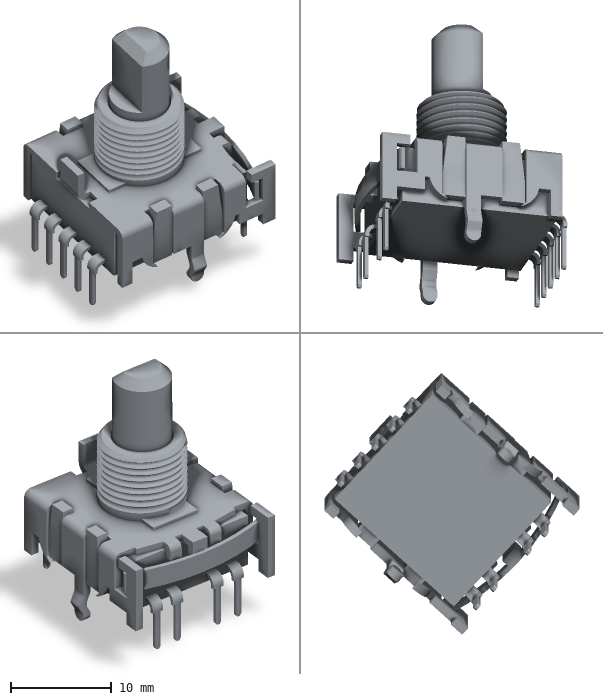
import cadquery as cq
import math


SHAFT_DIAMETER = 6.0
SHAFT_TOP = 15.0
FLAT_BOTTOM = 8.0
FLAT_DISTANCE = 1.5
SHAFT_CHAMFER = 1.0

BUSHING_DIAMETER = 9.0
BUSHING_TOP = 7.0
BORE_DIAMETER = 6.3
BUSHING_CHAMFER = 0.45
EAR_WIDTH = 5.5
EAR_LENGTH = 11.16

THREAD_PITCH = 0.75
THREAD_DEPTH = 0.48
THREAD_CREST_FLAT = 0.03
THREAD_START_Z = 0.33
GROOVE_OVERSHOOT = 0.1

PLATE_TOP = -0.35
PLATE_THICKNESS = 0.78
PLATE_BOTTOM = PLATE_TOP - PLATE_THICKNESS
COVER_HALF_WIDTH = 8.6
SIDE_THICKNESS = 0.86
SIDE_INNER_X = COVER_HALF_WIDTH - SIDE_THICKNESS
COVER_BEND_RADIUS = 0.8
COVER_FRONT = -8.03
BEND_REAR = 6.91
WING_REAR = 10.5

FOOT_BOTTOM = -7.45
SIDE_BOTTOM = -6.05
NOTCH_TOP = -4.67
FRONT_FOOT_REAR = -6.83
REAR_NOTCH_REAR = 6.13
REAR_FOOT_FRONT = 8.98
PRONG_ROOT_Y = 5.62
PRONG_MID_Y = 4.92
PRONG_MID_Z = -6.05
PRONG_TIP_Y = 3.75
PRONG_TIP_Z = -6.76
PRONG_HEEL_Y = 4.2

SLOT_NEAR_Y = 1.83
SLOT_FAR_Y = 4.33
SLOT_INNER_X = 7.02

WINDOW_TOP = -1.4
WINDOW_BOTTOM = -4.32
WINDOW_GAP_REAR = 7.6

REAR_STEP_X = 6.11
REAR_STEP_Y = 7.3
REAR_EDGE_Y = 7.77
HOOK_INNER_X = 1.77
HOOK_OUTER_X = 3.17
HOOK_REAR = 8.96
HOOK_BOTTOM = -2.2
HOOK_BEND_RADIUS = 0.7
CENTRE_TAB_HALF_WIDTH = 0.91

SPRING_RADIUS = 24.0
SPRING_THICKNESS = 0.45
SPRING_REAR = 10.11
SPRING_HALF_SPAN = 8.56
SPRING_TOP = -1.73
SPRING_BOTTOM = -3.97

FRONT_NOTCH_WIDTH = 5.64
FRONT_NOTCH_REAR = -7.0
FRONT_TAB_WIDTH = 3.04
FRONT_TAB_FACE = -8.49
FRONT_TAB_TOP = 2.44
FRONT_TAB_INNER_RADIUS = 0.5

LEG_CENTRE_Y = 1.09
LEG_WIDTH = 1.5
LEG_BOTTOM = -10.98
LEG_SHARP_PEAK_X = 9.157
LEG_PEAK_Z = -9.0
LEG_OUTER_BEND_Z = -7.78
LEG_INNER_BEND_Z = -7.56
LEG_VALLEY_X = 8.2
LEG_VALLEY_TOP = -8.6
LEG_VALLEY_BOTTOM = -9.18
LEG_FOOT_Z = -9.98
LEG_BEND_RADIUS = 0.6
LEG_PEAK_RADIUS = 0.44
LEG_FOOT_RADIUS = 0.86

BLOCK_HALF_WIDTH = 7.13
BLOCK_HALF_LENGTH = 8.03
BLOCK_BOTTOM = -6.91

ARM_OUTER_X = 8.36
ARM_TOP = 0.1
ARM_BOTTOM = -6.31
ARM_TAPER_END = -3.89
ARM_NEAR_Y = 1.9
ARM_TOP_FAR_Y = 3.72
ARM_FAR_Y = 4.22

TERMINAL_PITCH = 2.5
TERMINAL_THICKNESS = 0.4
TERMINAL_REACH = 9.35
TERMINAL_TOP = -5.84
TERMINAL_BEND_RADIUS = 1.04
TERMINAL_ROOT_WIDTH = 1.25
TERMINAL_SHOULDER = -7.17
PIN_WIDTH = 0.63
PIN_BOTTOM = -11.5
PIN_TIP_LENGTH = 0.25
PIN_TIP_WIDTH = 0.3
FRONT_TERMINALS = (-2, -1, 0, 1, 2)
REAR_TERMINALS = (-2, -1, 1, 2)

SIDES = (-1, 1)


def block(x0, x1, y0, y1, z0, z1):
    """Axis-aligned box between two opposite corners."""
    size = (x1 - x0, y1 - y0, z1 - z0)
    return cq.Workplane("XY").box(*size, centered=False).translate((x0, y0, z0))


def mirror_x(shape):
    """The shape together with its mirror image across the YZ plane."""
    return shape.union(shape.mirror("YZ"))


def make_shaft():
    radius = SHAFT_DIAMETER / 2
    shaft = cq.Workplane("XY").workplane(offset=PLATE_BOTTOM).circle(radius).extrude(SHAFT_TOP - PLATE_BOTTOM)
    shaft = shaft.faces(">Z").chamfer(SHAFT_CHAMFER)
    bevel_start = SHAFT_TOP - SHAFT_CHAMFER
    flat = (
        cq.Workplane("YZ")
        .moveTo(-SHAFT_DIAMETER, FLAT_BOTTOM)
        .lineTo(-FLAT_DISTANCE, FLAT_BOTTOM)
        .lineTo(-FLAT_DISTANCE, bevel_start)
        .lineTo(-FLAT_DISTANCE + SHAFT_CHAMFER, SHAFT_TOP)
        .lineTo(-SHAFT_DIAMETER, SHAFT_TOP)
        .close()
        .extrude(radius, both=True)
    )
    return shaft.cut(flat)


def make_thread_groove():
    """V groove between ruled helical faces, right-handed, starting at the +Y side."""
    crest_radius = BUSHING_DIAMETER / 2
    root_radius = crest_radius - THREAD_DEPTH
    mouth_radius = crest_radius + GROOVE_OVERSHOOT
    half_mouth = (THREAD_PITCH - THREAD_CREST_FLAT) / 2
    height = BUSHING_TOP + THREAD_PITCH - THREAD_START_Z
    section = [
        (root_radius, 0),
        (crest_radius, half_mouth),
        (mouth_radius, half_mouth),
        (mouth_radius, -half_mouth),
        (crest_radius, -half_mouth),
    ]
    helices = [
        cq.Wire.makeHelix(THREAD_PITCH, height, radius).translate(cq.Vector(0, 0, z))
        for radius, z in section
    ]
    next_helices = helices[1:] + helices[:1]
    faces = [cq.Face.makeRuledSurface(first, second) for first, second in zip(helices, next_helices)]
    for corners in ([h.startPoint() for h in helices], [h.endPoint() for h in helices]):
        faces.append(cq.Face.makeFromWires(cq.Wire.makePolygon(corners, close=True)))
    groove = cq.Workplane(cq.Solid.makeSolid(cq.Shell.makeShell(faces)).fix())
    return groove.rotate((0, 0, 0), (0, 0, 1), 90).translate((0, 0, THREAD_START_Z))


def make_bushing():
    """Threaded bushing standing on the housing block, not yet bored."""
    bushing = (
        cq.Workplane("XY")
        .workplane(offset=PLATE_BOTTOM)
        .circle(BUSHING_DIAMETER / 2)
        .extrude(BUSHING_TOP - PLATE_BOTTOM)
        .faces(">Z")
        .chamfer(BUSHING_CHAMFER)
    )
    return bushing.cut(make_thread_groove(), clean=False)


def make_ears(top):
    return block(-EAR_WIDTH / 2, EAR_WIDTH / 2, -EAR_LENGTH / 2, EAR_LENGTH / 2, PLATE_BOTTOM, top)


def make_arm(x_side, y_side):
    """Side arm of the housing with a tapered outer edge."""
    arm = (
        cq.Workplane("YZ")
        .moveTo(ARM_NEAR_Y, ARM_BOTTOM)
        .lineTo(ARM_FAR_Y, ARM_BOTTOM)
        .lineTo(ARM_FAR_Y, ARM_TAPER_END)
        .lineTo(ARM_TOP_FAR_Y, ARM_TOP)
        .lineTo(ARM_NEAR_Y, ARM_TOP)
        .close()
        .extrude(ARM_OUTER_X - BLOCK_HALF_WIDTH)
        .translate((BLOCK_HALF_WIDTH, 0, 0))
    )
    if x_side < 0:
        arm = arm.mirror("YZ")
    if y_side < 0:
        arm = arm.mirror("XZ")
    return arm


def make_terminal():
    """Rear terminal centred on X = 0: a bent strip trimmed to its front outline."""
    inner_radius = TERMINAL_BEND_RADIUS - TERMINAL_THICKNESS
    bend_y = TERMINAL_REACH - TERMINAL_BEND_RADIUS
    bend_z = TERMINAL_TOP - TERMINAL_BEND_RADIUS
    strip = (
        cq.Workplane("YZ")
        .moveTo(BLOCK_HALF_LENGTH, TERMINAL_TOP)
        .lineTo(bend_y, TERMINAL_TOP)
        .radiusArc((TERMINAL_REACH, bend_z), TERMINAL_BEND_RADIUS)
        .lineTo(TERMINAL_REACH, PIN_BOTTOM)
        .lineTo(TERMINAL_REACH - TERMINAL_THICKNESS, PIN_BOTTOM)
        .lineTo(TERMINAL_REACH - TERMINAL_THICKNESS, bend_z)
        .radiusArc((bend_y, TERMINAL_TOP - TERMINAL_THICKNESS), -inner_radius)
        .lineTo(BLOCK_HALF_LENGTH, TERMINAL_TOP - TERMINAL_THICKNESS)
        .close()
        .extrude(TERMINAL_ROOT_WIDTH / 2, both=True)
    )
    outline = (
        cq.Workplane("XZ")
        .moveTo(0, TERMINAL_TOP)
        .lineTo(TERMINAL_ROOT_WIDTH / 2, TERMINAL_TOP)
        .lineTo(TERMINAL_ROOT_WIDTH / 2, TERMINAL_SHOULDER)
        .lineTo(PIN_WIDTH / 2, TERMINAL_SHOULDER)
        .lineTo(PIN_WIDTH / 2, PIN_BOTTOM + PIN_TIP_LENGTH)
        .lineTo(PIN_TIP_WIDTH / 2, PIN_BOTTOM)
        .lineTo(0, PIN_BOTTOM)
        .mirrorY()
        .extrude(-TERMINAL_REACH)
    )
    return strip.intersect(outline)


def make_housing():
    housing = block(
        -BLOCK_HALF_WIDTH, BLOCK_HALF_WIDTH,
        -BLOCK_HALF_LENGTH, BLOCK_HALF_LENGTH,
        BLOCK_BOTTOM, PLATE_BOTTOM,
    )
    housing = housing.union(make_bushing().union(make_ears(0)))
    for x_side in SIDES:
        for y_side in SIDES:
            housing = housing.union(make_arm(x_side, y_side))
    rear_terminal = make_terminal()
    front_terminal = rear_terminal.mirror("XZ")
    for index in REAR_TERMINALS:
        housing = housing.union(rear_terminal.translate((index * TERMINAL_PITCH, 0, 0)))
    for index in FRONT_TERMINALS:
        housing = housing.union(front_terminal.translate((index * TERMINAL_PITCH, 0, 0)))
    bore = cq.Workplane("XY").workplane(offset=PLATE_BOTTOM).circle(BORE_DIAMETER / 2).extrude(
        BUSHING_TOP - PLATE_BOTTOM
    )
    return housing.cut(bore)


def make_channel():
    """U-shaped cover sheet with square wings behind the bends."""
    outer = block(-COVER_HALF_WIDTH, COVER_HALF_WIDTH, COVER_FRONT, BEND_REAR, FOOT_BOTTOM, PLATE_TOP)
    outer = outer.edges("|Y and >Z").fillet(COVER_BEND_RADIUS)
    wing = block(SIDE_INNER_X, COVER_HALF_WIDTH, BEND_REAR, WING_REAR, FOOT_BOTTOM, PLATE_TOP)
    inside = block(-SIDE_INNER_X, SIDE_INNER_X, COVER_FRONT, BEND_REAR, FOOT_BOTTOM, PLATE_BOTTOM)
    return outer.cut(inside).union(mirror_x(wing))


def make_side_outline():
    """Side outline with feet, notches and the pointed prongs under the arms."""
    return (
        cq.Workplane("YZ")
        .moveTo(COVER_FRONT, PLATE_TOP)
        .lineTo(COVER_FRONT, FOOT_BOTTOM)
        .lineTo(FRONT_FOOT_REAR, FOOT_BOTTOM)
        .lineTo(FRONT_FOOT_REAR, NOTCH_TOP)
        .lineTo(-PRONG_ROOT_Y, NOTCH_TOP)
        .threePointArc((-PRONG_MID_Y, PRONG_MID_Z), (-PRONG_TIP_Y, PRONG_TIP_Z))
        .lineTo(-PRONG_HEEL_Y, ARM_BOTTOM)
        .lineTo(-SLOT_NEAR_Y, ARM_BOTTOM)
        .lineTo(-SLOT_NEAR_Y, SIDE_BOTTOM)
        .lineTo(SLOT_NEAR_Y, SIDE_BOTTOM)
        .lineTo(SLOT_NEAR_Y, ARM_BOTTOM)
        .lineTo(PRONG_HEEL_Y, ARM_BOTTOM)
        .lineTo(PRONG_TIP_Y, PRONG_TIP_Z)
        .threePointArc((PRONG_MID_Y, PRONG_MID_Z), (PRONG_ROOT_Y, NOTCH_TOP))
        .lineTo(REAR_NOTCH_REAR, NOTCH_TOP)
        .lineTo(REAR_NOTCH_REAR, SIDE_BOTTOM)
        .lineTo(REAR_FOOT_FRONT, SIDE_BOTTOM)
        .lineTo(REAR_FOOT_FRONT, FOOT_BOTTOM)
        .lineTo(WING_REAR, FOOT_BOTTOM)
        .lineTo(WING_REAR, PLATE_TOP)
        .close()
        .extrude(COVER_HALF_WIDTH, both=True)
    )


def make_side_openings():
    """Arm slots and the spring window with its gap open to the top."""
    openings = block(
        SIDE_INNER_X, COVER_HALF_WIDTH, BEND_REAR, REAR_FOOT_FRONT, WINDOW_BOTTOM, WINDOW_TOP
    )
    gap = block(SIDE_INNER_X, COVER_HALF_WIDTH, BEND_REAR, WINDOW_GAP_REAR, WINDOW_BOTTOM, PLATE_TOP)
    slot = block(SLOT_INNER_X, COVER_HALF_WIDTH, SLOT_NEAR_Y, SLOT_FAR_Y, ARM_BOTTOM, PLATE_TOP)
    openings = openings.union(gap).union(slot).union(slot.mirror("XZ"))
    return mirror_x(openings)


def make_rear_plate():
    """Stepped rear edge of the top plate with its centre tab."""
    spring_inner_y = SPRING_REAR - SPRING_THICKNESS
    plate = (
        cq.Workplane("XY")
        .workplane(offset=PLATE_BOTTOM)
        .moveTo(0, FRONT_NOTCH_REAR)
        .lineTo(REAR_STEP_X, FRONT_NOTCH_REAR)
        .lineTo(REAR_STEP_X, REAR_STEP_Y)
        .lineTo(HOOK_OUTER_X, REAR_EDGE_Y)
        .lineTo(CENTRE_TAB_HALF_WIDTH, REAR_EDGE_Y)
        .lineTo(CENTRE_TAB_HALF_WIDTH, spring_inner_y)
        .lineTo(0, spring_inner_y)
        .mirrorY()
        .extrude(PLATE_THICKNESS)
    )
    drop = block(
        -CENTRE_TAB_HALF_WIDTH, CENTRE_TAB_HALF_WIDTH,
        spring_inner_y - PLATE_THICKNESS, spring_inner_y,
        SPRING_BOTTOM, PLATE_TOP,
    )
    return plate.union(drop)


def make_hook():
    """Rear hook bent down behind the housing block."""
    hook = block(HOOK_INNER_X, HOOK_OUTER_X, BEND_REAR, HOOK_REAR, HOOK_BOTTOM, PLATE_TOP)
    hook = hook.edges(">Y and >Z").fillet(HOOK_BEND_RADIUS)
    relief_rear = HOOK_REAR - PLATE_THICKNESS
    return hook.cut(block(HOOK_INNER_X, HOOK_OUTER_X, BEND_REAR, relief_rear, HOOK_BOTTOM, PLATE_BOTTOM))


def make_spring():
    """Curved leaf spring whose ends reach into the side windows."""
    centre_y = SPRING_REAR - SPRING_RADIUS
    inner_radius = SPRING_RADIUS - SPRING_THICKNESS
    half_angle = math.asin(SPRING_HALF_SPAN / SPRING_RADIUS)

    def point(radius, angle):
        return radius * math.sin(angle), centre_y + radius * math.cos(angle)

    return (
        cq.Workplane("XY")
        .workplane(offset=SPRING_BOTTOM)
        .moveTo(*point(SPRING_RADIUS, -half_angle))
        .threePointArc(point(SPRING_RADIUS, 0), point(SPRING_RADIUS, half_angle))
        .lineTo(*point(inner_radius, half_angle))
        .threePointArc(point(inner_radius, 0), point(inner_radius, -half_angle))
        .close()
        .extrude(SPRING_TOP - SPRING_BOTTOM)
    )


def make_front_tab():
    """Locating tab bent up from the front edge of the plate."""
    outer_radius = FRONT_TAB_INNER_RADIUS + PLATE_THICKNESS
    bend_y = FRONT_TAB_FACE + outer_radius
    bend_z = PLATE_TOP + FRONT_TAB_INNER_RADIUS
    tab_back = FRONT_TAB_FACE + PLATE_THICKNESS
    return (
        cq.Workplane("YZ")
        .moveTo(FRONT_NOTCH_REAR, PLATE_BOTTOM)
        .lineTo(bend_y, PLATE_BOTTOM)
        .radiusArc((FRONT_TAB_FACE, bend_z), outer_radius)
        .lineTo(FRONT_TAB_FACE, FRONT_TAB_TOP)
        .lineTo(tab_back, FRONT_TAB_TOP)
        .lineTo(tab_back, bend_z)
        .radiusArc((bend_y, PLATE_TOP), -FRONT_TAB_INNER_RADIUS)
        .lineTo(FRONT_NOTCH_REAR, PLATE_TOP)
        .close()
        .extrude(FRONT_TAB_WIDTH / 2, both=True)
    )


def make_leg():
    """Kinked snap-in leg on the +X side with a round tip."""
    kinked = (
        cq.Workplane("XZ")
        .moveTo(COVER_HALF_WIDTH, SIDE_BOTTOM)
        .lineTo(COVER_HALF_WIDTH, LEG_OUTER_BEND_Z)
        .lineTo(LEG_SHARP_PEAK_X, LEG_PEAK_Z)
        .lineTo(COVER_HALF_WIDTH, LEG_FOOT_Z)
        .lineTo(COVER_HALF_WIDTH, LEG_BOTTOM)
        .lineTo(SIDE_INNER_X, LEG_BOTTOM)
        .lineTo(SIDE_INNER_X, LEG_FOOT_Z)
        .lineTo(LEG_VALLEY_X, LEG_VALLEY_BOTTOM)
        .lineTo(LEG_VALLEY_X, LEG_VALLEY_TOP)
        .lineTo(SIDE_INNER_X, LEG_INNER_BEND_Z)
        .lineTo(SIDE_INNER_X, SIDE_BOTTOM)
        .close()
        .extrude(LEG_WIDTH / 2, both=True)
        .translate((0, LEG_CENTRE_Y, 0))
    )
    for x, z, radius in (
        (COVER_HALF_WIDTH, LEG_OUTER_BEND_Z, LEG_BEND_RADIUS),
        (LEG_SHARP_PEAK_X, LEG_PEAK_Z, LEG_PEAK_RADIUS),
        (COVER_HALF_WIDTH, LEG_FOOT_Z, LEG_FOOT_RADIUS),
    ):
        bend = cq.selectors.NearestToPointSelector((x, LEG_CENTRE_Y, z))
        kinked = kinked.edges(bend).fillet(radius)
    tip_radius = LEG_WIDTH / 2
    tip_z = LEG_BOTTOM + tip_radius
    outline = (
        cq.Workplane("YZ")
        .moveTo(LEG_CENTRE_Y + tip_radius, SIDE_BOTTOM)
        .lineTo(LEG_CENTRE_Y + tip_radius, tip_z)
        .threePointArc((LEG_CENTRE_Y, LEG_BOTTOM), (LEG_CENTRE_Y - tip_radius, tip_z))
        .lineTo(LEG_CENTRE_Y - tip_radius, SIDE_BOTTOM)
        .close()
        .extrude(LEG_SHARP_PEAK_X)
    )
    return kinked.intersect(outline)


def make_bushing_opening():
    """Opening in the cover that matches the bushing and its ears."""
    hole = cq.Workplane("XY").workplane(offset=PLATE_BOTTOM).circle(BUSHING_DIAMETER / 2).extrude(PLATE_THICKNESS)
    return hole.union(make_ears(PLATE_TOP))


def make_cover():
    cover = make_channel().intersect(make_side_outline()).cut(make_side_openings())
    cover = cover.union(make_rear_plate()).union(make_spring())
    cover = cover.union(mirror_x(make_hook())).union(mirror_x(make_leg()))
    half_notch = FRONT_NOTCH_WIDTH / 2
    notch = block(-half_notch, half_notch, COVER_FRONT, FRONT_NOTCH_REAR, PLATE_BOTTOM, PLATE_TOP)
    cover = cover.cut(notch).union(make_front_tab())
    return cover.cut(make_bushing_opening())


shaft = make_shaft()
housing = make_housing()
cover = make_cover()

result = cq.Compound.makeCompound([shaft.val(), housing.val(), cover.val()])